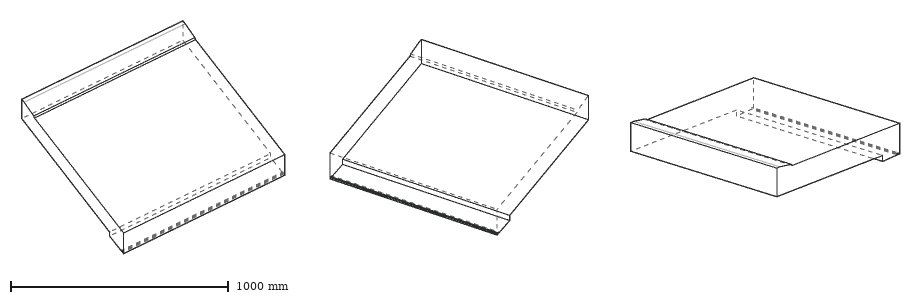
import cadquery as cq

length = 883.0
width = 873.0
height = 203.0

lip_flat = 21.0
lip_end = 104.0
lip_foot_z = 190.0
lip_step_end = 111.0
slab_start_z = 182.0

slab_end_z = 152.0
underside_start_z = 61.0

rib_thickness = 123.0
rib_top_z = 30.0

groove_from_edge = 13.0
groove_width = 7.0
groove_depth = 7.0

groove_center = length - groove_from_edge
groove_start = groove_center - groove_width / 2
groove_end = groove_center + groove_width / 2

profile = [
    (0, underside_start_z),
    (length - rib_thickness, rib_top_z),
    (length - rib_thickness, 0),
    (groove_start, 0),
    (groove_start, groove_depth),
    (groove_end, groove_depth),
    (groove_end, 0),
    (length, 0),
    (length, slab_end_z),
    (lip_step_end, slab_start_z),
    (lip_end, lip_foot_z),
    (lip_flat, height),
    (0, height),
]

result = (
    cq.Workplane("XZ")
    .polyline(profile)
    .close()
    .extrude(width / 2, both=True)
)